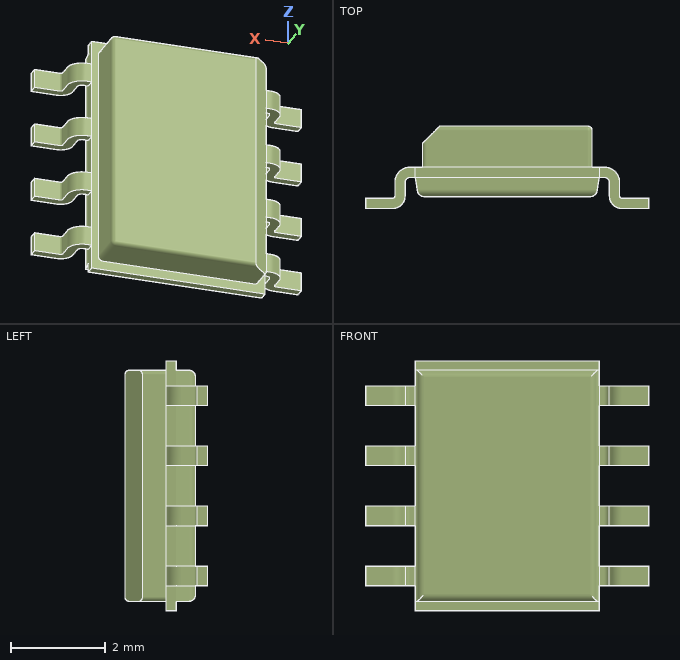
import cadquery as cq
import math


LEAD_SPAN = 6.0
TOP_Y = 1.75

FLANGE_WIDTH = 3.9
FLANGE_LENGTH = 5.3
LEAD_THICKNESS = 0.22
FLANGE_TOP_Y = 0.88
FLANGE_BOTTOM_Y = FLANGE_TOP_Y - LEAD_THICKNESS

FLANGE_OVERHANG = 0.2
BODY_LENGTH = FLANGE_LENGTH - 2 * FLANGE_OVERHANG
COVER_WIDTH = 3.6
COVER_ROUND = 0.095
PIN_ONE_BEVEL = 0.37
BASE_BOTTOM_Y = 0.25
BASE_DRAFT = 9.0
BASE_ROUND = 0.15

LEADS_PER_SIDE = 4
LEAD_PITCH = 1.27
LEAD_WIDTH = 0.42
FOOT_FLAT = 0.57
SHOULDER_BEND = 0.1
FOOT_BEND = 0.05


def make_cover():
    """Rounded block on the flange, with the pin-one bevel along its -X edge."""
    height = TOP_Y - FLANGE_TOP_Y
    cover = (
        cq.Workplane("XY")
        .box(COVER_WIDTH, height, BODY_LENGTH, centered=(True, False, True))
        .translate((0, FLANGE_TOP_Y, 0))
        .edges("|Y or >Y")
        .fillet(COVER_ROUND)
    )
    corner_x = -COVER_WIDTH / 2
    bevel = (
        cq.Workplane("XY")
        .moveTo(corner_x, TOP_Y)
        .lineTo(corner_x + PIN_ONE_BEVEL, TOP_Y)
        .lineTo(corner_x, TOP_Y - PIN_ONE_BEVEL)
        .close()
        .extrude(BODY_LENGTH / 2, both=True)
    )
    return cover.cut(bevel)


def make_base():
    """Block under the flange, tapered along X and rounded around its -Y face."""
    inset = (FLANGE_BOTTOM_Y - BASE_BOTTOM_Y) * math.tan(math.radians(BASE_DRAFT))
    top_x = FLANGE_WIDTH / 2
    bottom_x = top_x - inset
    return (
        cq.Workplane("XY")
        .moveTo(-top_x, FLANGE_BOTTOM_Y)
        .lineTo(top_x, FLANGE_BOTTOM_Y)
        .lineTo(bottom_x, BASE_BOTTOM_Y)
        .lineTo(-bottom_x, BASE_BOTTOM_Y)
        .close()
        .extrude(BODY_LENGTH / 2, both=True)
        .faces("<Y")
        .edges()
        .fillet(BASE_ROUND)
    )


def make_housing():
    """Moulded housing: flange, cover and base in one piece."""
    flange = (
        cq.Workplane("XY")
        .box(FLANGE_WIDTH, LEAD_THICKNESS, FLANGE_LENGTH, centered=(True, False, True))
        .translate((0, FLANGE_BOTTOM_Y, 0))
    )
    return flange.union(make_cover()).union(make_base())


def make_lead(z):
    """Gull-wing lead on the +X side, centred at Z = z."""
    flange_x = FLANGE_WIDTH / 2
    tip_x = LEAD_SPAN / 2
    foot_x = tip_x - FOOT_FLAT
    foot_outer = FOOT_BEND + LEAD_THICKNESS
    shoulder_outer = SHOULDER_BEND + LEAD_THICKNESS
    inner_x = foot_x - foot_outer
    outer_x = inner_x + LEAD_THICKNESS
    shoulder_x = inner_x - SHOULDER_BEND
    shoulder_y = FLANGE_TOP_Y - shoulder_outer
    return (
        cq.Workplane("XY")
        .moveTo(flange_x, FLANGE_TOP_Y)
        .lineTo(shoulder_x, FLANGE_TOP_Y)
        .radiusArc((outer_x, shoulder_y), shoulder_outer)
        .lineTo(outer_x, foot_outer)
        .radiusArc((foot_x, LEAD_THICKNESS), -FOOT_BEND)
        .lineTo(tip_x, LEAD_THICKNESS)
        .lineTo(tip_x, 0)
        .lineTo(foot_x, 0)
        .radiusArc((inner_x, foot_outer), foot_outer)
        .lineTo(inner_x, shoulder_y)
        .radiusArc((shoulder_x, FLANGE_BOTTOM_Y), -SHOULDER_BEND)
        .lineTo(flange_x, FLANGE_BOTTOM_Y)
        .close()
        .extrude(LEAD_WIDTH / 2, both=True)
        .translate((0, 0, z))
    )


housing = make_housing()

leads = []
for index in range(LEADS_PER_SIDE):
    lead = make_lead((index - (LEADS_PER_SIDE - 1) / 2) * LEAD_PITCH)
    leads.append(lead.val())
    leads.append(lead.mirror("YZ").val())

result = cq.Compound.makeCompound([housing.val(), *leads])